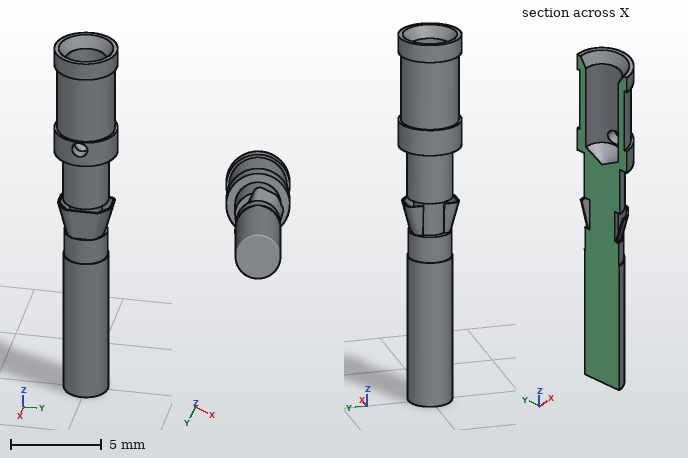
import cadquery as cq
import math

height = 21.5
rim_bottom = 20.5
collar_top = 16.5
collar_bottom = 15.0
waist_bottom = 12.0
spring_top = 11.74
ring_top = 10.0
ring_bottom = 8.5

rim_diameter = 3.5
barrel_diameter = 3.2
waist_diameter = 2.54
neck_diameter = 1.8
ring_diameter = 2.4
pin_diameter = 2.5
pin_end_fillet = 0.09

mouth_diameter = 3.0
bore_diameter = 2.25
mouth_depth = 0.67
bore_depth = 6.0
drill_point_angle = 118.0

inspection_diameter = 0.85
inspection_height = 16.02

sheet = 0.1
slot_half_width = 0.6
left_bend_radius = 0.35
knee_bend_radius = 0.65
right_bend_radius = 0.35
foot_corners = [(-0.73, 1.05), (0.43, 1.05), (1.1, 0.67)]
top_corners = [(-0.82, 1.53), (0.43, 1.53), (1.15, 0.92)]


def stepped_body():
    """Solid of revolution: rim, barrel, collar, waist, neck, ring and pin."""
    sections = [
        (pin_diameter, 0, ring_bottom),
        (ring_diameter, ring_bottom, ring_top),
        (neck_diameter, ring_top, waist_bottom),
        (waist_diameter, waist_bottom, collar_bottom),
        (rim_diameter, collar_bottom, collar_top),
        (barrel_diameter, collar_top, rim_bottom),
        (rim_diameter, rim_bottom, height),
    ]
    body = cq.Workplane("XY")
    for diameter, bottom, top in sections:
        step = cq.Workplane("XY").workplane(offset=bottom).circle(diameter / 2).extrude(top - bottom)
        body = body.union(step)
    return body.faces("<Z").edges().fillet(pin_end_fillet)


def wire_bore():
    """Cutter for the conical mouth, the straight bore and its drill point."""
    bore_radius = bore_diameter / 2
    floor = height - bore_depth
    tip = floor - bore_radius / math.tan(math.radians(drill_point_angle / 2))
    half_profile = [
        (0, height),
        (mouth_diameter / 2, height),
        (bore_radius, height - mouth_depth),
        (bore_radius, floor),
        (0, tip),
    ]
    return cq.Workplane("XZ").polyline(half_profile).close().revolve(360, (0, 0, 0), (0, 1, 0))


def inspection_hole():
    """Cutter from the axis out through the +X wall."""
    return (
        cq.Workplane("YZ")
        .center(0, inspection_height)
        .circle(inspection_diameter / 2)
        .extrude(rim_diameter)
    )


def half_outline(corners):
    """Points of the -Y clip half's outer outline, running just past the XZ plane."""
    left = corners[0][0]
    right = corners[-1][0]
    return [(left, sheet)] + [(x, -y) for x, y in corners] + [(right, sheet)]


def half_block(inset):
    """Solid flared block with rounded bends, its sides moved inward by inset."""
    foot_outline = cq.Workplane("XY").polyline(half_outline(foot_corners)).close()
    top_outline = cq.Workplane("XY").polyline(half_outline(top_corners)).close()
    if inset:
        foot_outline = foot_outline.offset2D(-inset, "intersection")
        top_outline = top_outline.offset2D(-inset, "intersection")
    foot_wire = foot_outline.val().moved(cq.Location((0, 0, ring_top)))
    top_wire = top_outline.val().moved(cq.Location((0, 0, spring_top)))
    block = cq.Workplane(cq.Solid.makeLoft([foot_wire, top_wire], True))

    middle = (ring_top + spring_top) / 2
    bend_radii = [left_bend_radius, knee_bend_radius, right_bend_radius]
    for foot, top, radius in zip(foot_corners, top_corners, bend_radii):
        bend = ((foot[0] + top[0]) / 2, -(foot[1] + top[1]) / 2, middle)
        edge = block.edges(cq.selectors.NearestToPointSelector(bend))
        block = edge.fillet(radius - inset)
    return block


def spring_clip():
    """Both mirrored halves of the clip, standing on the ring and open at the slot."""
    beyond_middle = cq.Workplane("XY").box(
        rim_diameter, rim_diameter, height, centered=(True, False, False)
    )
    slot = cq.Workplane("XY").box(
        rim_diameter, 2 * slot_half_width, height, centered=(True, True, False)
    ).translate((-rim_diameter / 2, 0, 0))
    half = half_block(0).cut(half_block(sheet)).cut(beyond_middle)
    return half.union(half.mirror("XZ")).cut(slot)


result = stepped_body().cut(wire_bore()).cut(inspection_hole()).union(spring_clip())